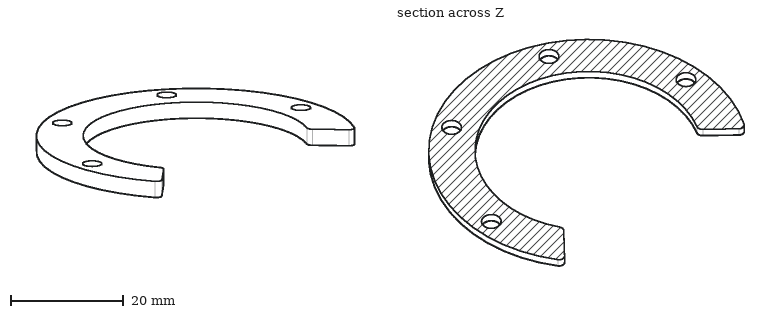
import cadquery as cq
import math

outer_radius = 28.4
inner_radius = 20.1
thickness = 3.0
hole_diameter = 3.4
bolt_circle_radius = 25.0
hole_angles = (90, 150, 210, 270)
end_angle = 45
gap_apex_x = -6.9
corner_radius = 1.0

ring = cq.Workplane("XY").circle(outer_radius).circle(inner_radius).extrude(thickness)

gap_length = 2 * outer_radius
gap_half_width = gap_length * math.tan(math.radians(end_angle))
gap = (
    cq.Workplane("XY")
    .moveTo(gap_apex_x, 0)
    .lineTo(gap_apex_x + gap_length, gap_half_width)
    .lineTo(gap_apex_x + gap_length, -gap_half_width)
    .close()
    .extrude(thickness)
)
body = ring.cut(gap)

end_region = cq.selectors.BoxSelector(
    (0, -outer_radius, 0),
    (outer_radius, outer_radius, thickness),
)
body = body.edges("|Z").edges(end_region).fillet(corner_radius)

hole_centers = [
    (
        bolt_circle_radius * math.cos(math.radians(angle)),
        bolt_circle_radius * math.sin(math.radians(angle)),
    )
    for angle in hole_angles
]
holes = cq.Workplane("XY").pushPoints(hole_centers).circle(hole_diameter / 2).extrude(thickness)

result = body.cut(holes)